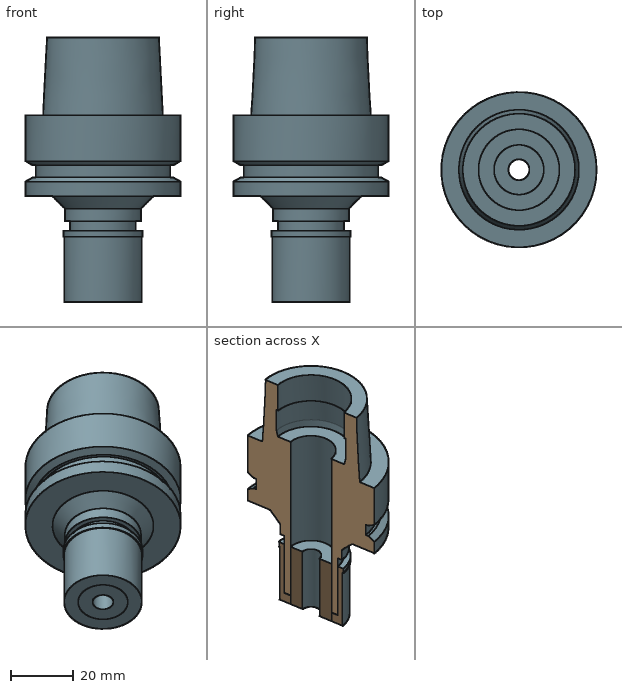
import cadquery as cq

total_height = 85.0
flange_top = 60.0
groove_upper_edge = 45.3
groove_lower_edge = 38.7
flange_bottom = 34.0
collar_bottom = 26.0
nut_top = 22.95
lip_bottom = 21.0

shank_top_radius = 18.0
shank_base_radius = 19.3
flange_radius = 25.0
groove_radius = 21.7
groove_chamfer_width = 2.4
groove_chamfer_height = 1.4
cone_top_radius = 16.2
collar_radius = 12.2
neck_radius = 10.6
cone_height = cone_top_radius - collar_radius

socket_radius = 13.0
socket_depth = 10.3
undercut_radius = 13.6
undercut_height = 7.8
undercut_cone_height = 2.4
collet_radius = 8.0

nut_radius = 12.5
lip_radius = 12.75
nut_end_thickness = 3.4
collet_bore_radius = 3.3


def revolve_profile(points):
    """Revolve a closed (radius, height) outline about the Z axis."""
    return cq.Workplane("XZ").polyline(points).close().revolve(360, (0, 0), (0, 1))


def make_holder():
    """Tapered shank, grooved flange and neck, with a stepped through bore."""
    undercut_top = total_height - socket_depth
    undercut_bottom = undercut_top - undercut_height
    socket_floor = undercut_bottom - undercut_cone_height
    chamfer_radius = flange_radius - groove_chamfer_width
    groove_top = groove_upper_edge - groove_chamfer_height
    groove_bottom = groove_lower_edge + groove_chamfer_height
    cone_bottom = flange_bottom - cone_height

    return revolve_profile([
        (shank_top_radius, total_height),
        (shank_base_radius, flange_top),
        (flange_radius, flange_top),
        (flange_radius, groove_upper_edge),
        (chamfer_radius, groove_top),
        (groove_radius, groove_top),
        (groove_radius, groove_bottom),
        (chamfer_radius, groove_bottom),
        (flange_radius, groove_lower_edge),
        (flange_radius, flange_bottom),
        (cone_top_radius, flange_bottom),
        (collar_radius, cone_bottom),
        (collar_radius, collar_bottom),
        (neck_radius, collar_bottom),
        (neck_radius, nut_end_thickness),
        (collet_radius, nut_end_thickness),
        (collet_radius, socket_floor),
        (socket_radius, socket_floor),
        (undercut_radius, undercut_bottom),
        (undercut_radius, undercut_top),
        (socket_radius, undercut_top),
        (socket_radius, total_height),
    ])


def make_nut():
    """Sleeve around the neck, with a lip at its top and a thicker end below the neck."""
    return revolve_profile([
        (collet_radius, 0),
        (nut_radius, 0),
        (nut_radius, lip_bottom),
        (lip_radius, lip_bottom),
        (lip_radius, nut_top),
        (neck_radius, nut_top),
        (neck_radius, nut_end_thickness),
        (collet_radius, nut_end_thickness),
    ])


def make_collet():
    """Plain bored cylinder, as long as the nut."""
    return cq.Workplane("XY").circle(collet_radius).circle(collet_bore_radius).extrude(nut_top)


holder = make_holder()
nut = make_nut()
collet = make_collet()

result = cq.Compound.makeCompound([holder.val(), nut.val(), collet.val()])